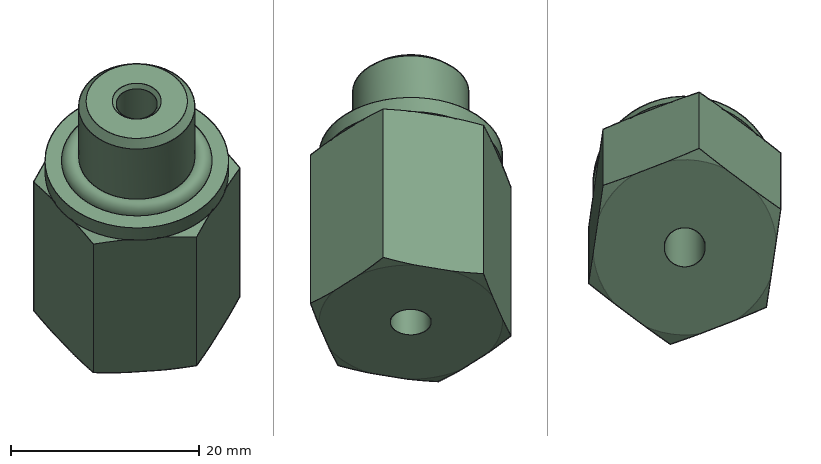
import cadquery as cq
import math

total_height = 32.0
hex_height = 20.8
collar_height = 1.92
collar_top = hex_height + collar_height

hex_across_corners = 22.0
hex_chamfer_diameter = 19.5
hex_chamfer_angle = 15.0

collar_diameter = 19.5
ring_outer_diameter = 16.13
ring_section_diameter = 2.43
ring_exposed_height = 0.83
spigot_diameter = 12.35
spigot_chamfer = 0.8

bore_diameter = 4.35
bore_mouth_diameter = 5.2


def cylinder(diameter, bottom, top):
    return cq.Workplane("XY").workplane(offset=bottom).circle(diameter / 2).extrude(top - bottom)


def make_hex_body():
    """Hexagonal prism whose corners are turned down to a shallow cone at both ends."""
    prism = (
        cq.Workplane("XY")
        .polygon(6, hex_across_corners)
        .extrude(hex_height)
        .rotate((0, 0, 0), (0, 0, 1), 90)
    )
    end_radius = hex_chamfer_diameter / 2
    corner_radius = hex_across_corners / 2
    cone_height = (corner_radius - end_radius) * math.tan(math.radians(hex_chamfer_angle))
    envelope = (
        cq.Workplane("XZ")
        .moveTo(0, 0)
        .lineTo(end_radius, 0)
        .lineTo(corner_radius, cone_height)
        .lineTo(corner_radius, hex_height - cone_height)
        .lineTo(end_radius, hex_height)
        .lineTo(0, hex_height)
        .close()
        .revolve(360, (0, 0, 0), (0, 1, 0))
    )
    return prism.intersect(envelope)


def make_sealing_ring():
    """Rounded ring, partly sunk in the collar."""
    section_radius = ring_section_diameter / 2
    ring_radius = ring_outer_diameter / 2 - section_radius
    center_height = collar_top + ring_exposed_height - section_radius
    return (
        cq.Workplane("XZ")
        .center(ring_radius, center_height)
        .circle(section_radius)
        .revolve(360, (-ring_radius, 0, 0), (-ring_radius, 1, 0))
    )


def make_bore():
    """Bore through the whole part with a 45 degree countersink at the spigot end."""
    bore_radius = bore_diameter / 2
    mouth_radius = bore_mouth_diameter / 2
    return (
        cq.Workplane("XZ")
        .lineTo(bore_radius, 0)
        .lineTo(bore_radius, total_height - (mouth_radius - bore_radius))
        .lineTo(mouth_radius, total_height)
        .lineTo(0, total_height)
        .close()
        .revolve(360, (0, 0, 0), (0, 1, 0))
    )


collar = cylinder(collar_diameter, hex_height, collar_top)
spigot = cylinder(spigot_diameter, collar_top, total_height).faces(">Z").chamfer(spigot_chamfer)

result = make_hex_body().union(collar).union(spigot).union(make_sealing_ring()).cut(make_bore())